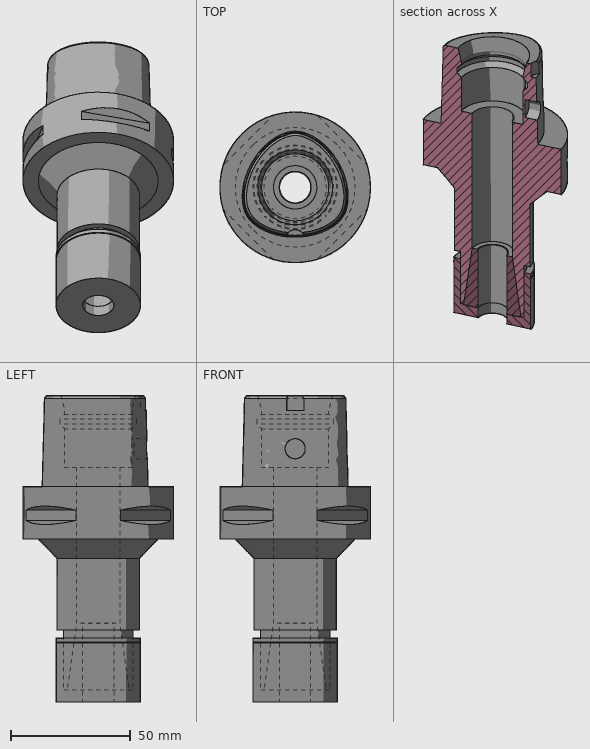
import cadquery as cq
import math

shank_length = 38.0
shank_radius = 22.15
lobe_height = 1.3
shank_taper = 1 / 40
section_points = 120
rim_chamfer_height = 1.2
rim_chamfer_width = 0.9

entry_radius = 15.6
bore_radius = 14.0
entry_cone_depth = 6.3
groove_top_depth = 7.8
groove_bottom_depth = 13.9
groove_depth = 2.0
bore_depth = 30.0

notch_radius = 4.2
notch_center_y = -21.9
notch_depth = 6.2
side_hole_radius = 4.2
side_hole_depth_below_rim = 22.2
side_hole_floor_y = -15.0

flange_radius = 31.5
flange_height = 22.0
slot_count = 4
slot_first_angle = 45.0
slot_center_z = -12.0
slot_floor_length = 29.6
slot_floor_height = 4.25
slot_flank_angle = 25.0

neck_radius = 17.25
neck_cone_radius = 25.0
neck_cone_end = -30.0
neck_end = -60.0
stem_radius = 14.6

nut_radius = 17.65
nut_top = -63.25
nut_bottom = -90.0
nut_floor_thickness = 5.0
nut_line_depth = 1.75
nut_line_size = 0.2

collet_back_radius = 9.05
collet_front_radius = 13.0
collet_half_angle = 8.0
collet_bore_radius = 6.5
collet_bore_chamfer = 0.2

stem_end = nut_bottom + nut_floor_thickness
collet_length = (collet_front_radius - collet_back_radius) / math.tan(math.radians(collet_half_angle))
collet_back = stem_end + collet_length


def turned(profile):
    """Revolve (radius, z) points about the Z axis."""
    return cq.Workplane("XZ").polyline(profile).close().revolve(360, (0, 0, 0), (0, 1, 0))


def lobed_wire(mean_radius, z):
    """Three-lobed section of constant width, with one lobe toward +Y."""

    def point(t):
        angle = 2 * math.pi * t - math.pi / 2
        reach = mean_radius - lobe_height * math.sin(3 * angle)
        slope = -3 * lobe_height * math.cos(3 * angle)
        return (
            reach * math.cos(angle) - slope * math.sin(angle),
            reach * math.sin(angle) + slope * math.cos(angle),
            z,
        )

    return cq.Workplane("XY").parametricCurve(point, N=section_points).val()


def shank():
    chamfer_start = shank_length - rim_chamfer_height
    chamfer_start_radius = shank_radius - shank_taper * chamfer_start
    base = lobed_wire(shank_radius, 0)
    shoulder = lobed_wire(chamfer_start_radius, chamfer_start)
    rim = lobed_wire(chamfer_start_radius - rim_chamfer_width, shank_length)
    taper = cq.Workplane(cq.Solid.makeLoft([base, shoulder], True))
    return taper.union(cq.Workplane(cq.Solid.makeLoft([shoulder, rim], True)))


def shank_bore():
    groove_radius = bore_radius + groove_depth
    return turned([
        (0, shank_length),
        (entry_radius, shank_length),
        (bore_radius, shank_length - entry_cone_depth),
        (bore_radius, shank_length - groove_top_depth),
        (groove_radius, shank_length - groove_top_depth - groove_depth),
        (groove_radius, shank_length - groove_bottom_depth + groove_depth),
        (bore_radius, shank_length - groove_bottom_depth),
        (bore_radius, shank_length - bore_depth),
        (0, shank_length - bore_depth),
    ])


def key_notch():
    floor = cq.Workplane("XY", origin=(0, notch_center_y, shank_length - notch_depth))
    return floor.circle(notch_radius).extrude(notch_depth)


def side_hole():
    hole_z = shank_length - side_hole_depth_below_rim
    floor = cq.Workplane("XZ", origin=(0, side_hole_floor_y, hole_z))
    length = shank_radius + side_hole_floor_y
    return floor.circle(side_hole_radius).extrude(length)


def cut_gripper_slots(body):
    floor_distance = math.sqrt(flange_radius**2 - (slot_floor_length / 2) ** 2)
    depth = flange_radius - floor_distance
    floor_half = slot_floor_height / 2
    mouth_half = floor_half + depth * math.tan(math.radians(slot_flank_angle))
    section = [
        (floor_distance, slot_center_z - floor_half),
        (flange_radius, slot_center_z - mouth_half),
        (flange_radius, slot_center_z + mouth_half),
        (floor_distance, slot_center_z + floor_half),
    ]
    slot = cq.Workplane("XZ").polyline(section).close().extrude(slot_floor_length, both=True)
    for i in range(slot_count):
        angle = slot_first_angle + i * 360 / slot_count
        body = body.cut(slot.rotate((0, 0, 0), (0, 0, 1), angle))
    return body


def coolant_bore():
    """Straight bore joining the shank bore to the collet seat."""
    length = shank_length - bore_depth - collet_back
    return cq.Workplane("XY", origin=(0, 0, collet_back)).circle(collet_back_radius).extrude(length)


def collet_seat():
    """Tapered seat that fits the outside of the collet."""
    return turned([
        (0, collet_back),
        (collet_back_radius, collet_back),
        (collet_front_radius, stem_end),
        (0, stem_end),
    ])


def make_holder():
    body = turned([
        (0, 0),
        (flange_radius, 0),
        (flange_radius, -flange_height),
        (neck_cone_radius, -flange_height),
        (neck_radius, neck_cone_end),
        (neck_radius, neck_end),
        (stem_radius, neck_end),
        (stem_radius, stem_end),
        (0, stem_end),
    ])
    body = cut_gripper_slots(body).union(shank())
    body = body.cut(shank_bore()).cut(key_notch()).cut(side_hole())
    return body.cut(coolant_bore()).cut(collet_seat())


def make_nut():
    line_z = nut_top - nut_line_depth
    return turned([
        (stem_radius, nut_top),
        (nut_radius, nut_top),
        (nut_radius, line_z),
        (nut_radius - nut_line_size, line_z - nut_line_size),
        (nut_radius, line_z - 2 * nut_line_size),
        (nut_radius, nut_bottom),
        (collet_bore_radius, nut_bottom),
        (collet_bore_radius, stem_end),
        (stem_radius, stem_end),
    ])


def make_collet():
    return turned([
        (collet_bore_radius + collet_bore_chamfer, collet_back),
        (collet_back_radius, collet_back),
        (collet_front_radius, stem_end),
        (collet_bore_radius, stem_end),
        (collet_bore_radius, collet_back - collet_bore_chamfer),
    ])


holder = make_holder()
nut = make_nut()
collet = make_collet()

result = cq.Compound.makeCompound([holder.solids().val(), nut.val(), collet.val()])